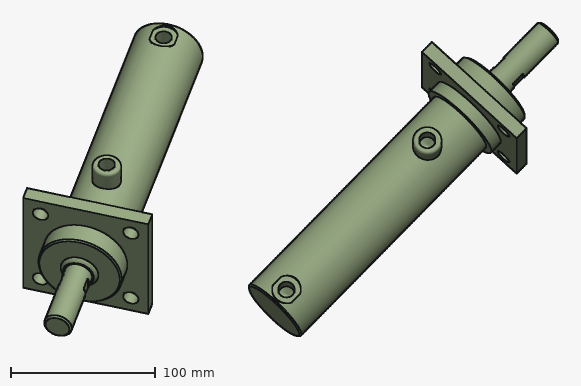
import cadquery as cq
import math


OVERALL_LENGTH = 276.0
WIPER_FRONT = 52.0
COLLAR_FRONT = 55.0
FLANGE_FRONT = 70.0
COLLAR_BACK = 89.5

TUBE_DIAMETER = 50.0
COLLAR_DIAMETER = 60.0
EDGE_CHAMFER = 1.0

FLANGE_SIDE = 90.0
FLANGE_THICKNESS = 10.0
BOLT_HOLE_DIAMETER = 11.0
BOLT_SPACING = 64.9

WIPER_DIAMETER = 27.0
WIPER_TIP_DIAMETER = 22.0
WIPER_BULGE_RADIUS = 7.0

PORT_HOLE_DIAMETER = 11.3
PORT_HOLE_DEPTH = 12.0
DRILL_POINT_ANGLE = 118.0
BOSS_DIAMETER = 20.0
BOSS_TOP = 39.0
BOSS_FILLET = 2.0
BOSS_Y = 122.3
SPOTFACE_DIAMETER = 20.0
SPOTFACE_DEPTH = 1.7
SPOTFACE_TO_TUBE_END = 12.5
SPOTFACE_Y = OVERALL_LENGTH - SPOTFACE_TO_TUBE_END

ROD_DIAMETER = 20.0
ROD_CHAMFER = 1.5
FLATS_WIDTH = 17.0
FLATS_FRONT = 35.3
FLATS_LENGTH = 10.0


def cylinder_along_y(diameter, y_start, y_end):
    """Cylinder on the main axis between two Y stations."""
    plane = cq.Plane(origin=(0, y_start, 0), xDir=(1, 0, 0), normal=(0, 1, 0))
    return cq.Workplane(plane).circle(diameter / 2).extrude(y_end - y_start)


def cylinder_along_z(diameter, y, z_start, z_end):
    """Upright cylinder at X = 0 between two heights."""
    return cq.Workplane("XY", origin=(0, y, z_start)).circle(diameter / 2).extrude(z_end - z_start)


def make_flange():
    """Square plate with a bolt hole near each corner."""
    plane = cq.Plane(origin=(0, FLANGE_FRONT, 0), xDir=(1, 0, 0), normal=(0, 1, 0))
    plate = cq.Workplane(plane).rect(FLANGE_SIDE, FLANGE_SIDE).extrude(FLANGE_THICKNESS)
    bolt_holes = (
        cq.Workplane(plane)
        .rect(BOLT_SPACING, BOLT_SPACING, forConstruction=True)
        .vertices()
        .circle(BOLT_HOLE_DIAMETER / 2)
        .extrude(FLANGE_THICKNESS)
    )
    return plate.cut(bolt_holes)


def make_wiper_nose():
    """Ring standing out of the collar, bulging gently as it narrows towards its front face."""
    return (
        cq.Workplane("XY")
        .moveTo(0, COLLAR_FRONT)
        .lineTo(WIPER_DIAMETER / 2, COLLAR_FRONT)
        .radiusArc((WIPER_TIP_DIAMETER / 2, WIPER_FRONT), WIPER_BULGE_RADIUS)
        .lineTo(0, WIPER_FRONT)
        .close()
        .revolve(360, (0, 0, 0), (0, 1, 0))
    )


def port_hole(y, z_mouth):
    """Blind drilled hole going down from its mouth, with a conical drill point."""
    radius = PORT_HOLE_DIAMETER / 2
    z_shoulder = z_mouth - PORT_HOLE_DEPTH
    z_point = z_shoulder - radius / math.tan(math.radians(DRILL_POINT_ANGLE / 2))
    profile = [(0, z_mouth), (radius, z_mouth), (radius, z_shoulder), (0, z_point)]
    return cq.Workplane("XZ", origin=(0, y, 0)).polyline(profile).close().revolve(360, (0, 0, 0), (0, 1, 0))


def make_housing():
    """Tube, collar, flange, wiper nose and ports in one piece, bored for the rod through the collar."""
    tube = cylinder_along_y(TUBE_DIAMETER, COLLAR_BACK, OVERALL_LENGTH).faces(">Y").chamfer(EDGE_CHAMFER)
    collar = cylinder_along_y(COLLAR_DIAMETER, COLLAR_FRONT, COLLAR_BACK).faces("<Y").chamfer(EDGE_CHAMFER)
    boss = cylinder_along_z(BOSS_DIAMETER, BOSS_Y, 0, BOSS_TOP).faces(">Z").edges().fillet(BOSS_FILLET)
    housing = tube.union(collar).union(make_flange()).union(make_wiper_nose()).union(boss)

    tube_top = TUBE_DIAMETER / 2
    spotface_z = tube_top - SPOTFACE_DEPTH
    housing = housing.cut(cylinder_along_z(SPOTFACE_DIAMETER, SPOTFACE_Y, spotface_z, tube_top))
    housing = housing.cut(port_hole(SPOTFACE_Y, spotface_z))
    housing = housing.cut(port_hole(BOSS_Y, BOSS_TOP))

    rod_bore = cylinder_along_y(ROD_DIAMETER, WIPER_FRONT, COLLAR_BACK)
    return housing.cut(rod_bore)


def make_rod():
    """Round rod with a chamfered tip and a pair of wrench flats facing -X and +X."""
    rod = cylinder_along_y(ROD_DIAMETER, 0, COLLAR_BACK).faces("<Y").chamfer(ROD_CHAMFER)
    cutter_thickness = ROD_DIAMETER / 2
    for side in (-1, 1):
        cutter_x = side * (FLATS_WIDTH + cutter_thickness) / 2
        cutter_y = FLATS_FRONT + FLATS_LENGTH / 2
        cutter = cq.Workplane("XY", origin=(cutter_x, cutter_y, 0)).box(
            cutter_thickness, FLATS_LENGTH, ROD_DIAMETER
        )
        rod = rod.cut(cutter)
    return rod


housing = make_housing()
rod = make_rod()

result = cq.Compound.makeCompound([housing.solids().val(), rod.solids().val()])